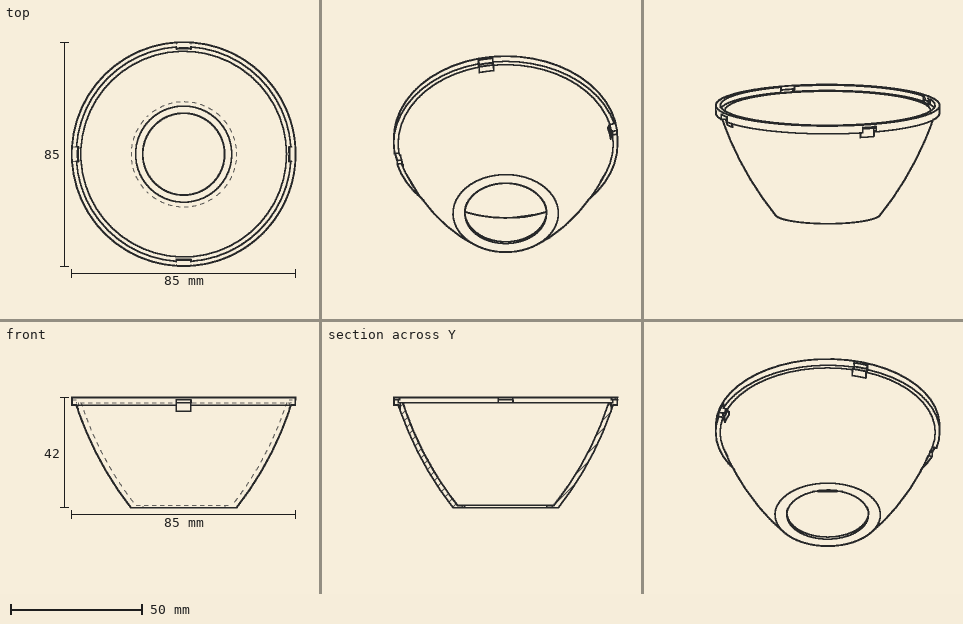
import cadquery as cq
import math

RIM_RADIUS = 42.5
RIM_BORE_RADIUS = 40.75
RIM_HEIGHT = 3.0
TOTAL_HEIGHT = 42.0
RIM_BOTTOM = TOTAL_HEIGHT - RIM_HEIGHT

SEAT_DEPTH = 2.0
SEAT_Z = TOTAL_HEIGHT - SEAT_DEPTH

BOWL_BASE_RADIUS = 20.0
BOWL_TOP_RADIUS = 40.8
BOWL_MID_RADIUS = 32.6
WALL = 2.0
FLOOR_THICKNESS = 1.0
FLOOR_HOLE_RADIUS = 15.5

WINDOW_COUNT = 4
WINDOW_WIDTH = 5.5
WINDOW_BOTTOM = 36.5
WINDOW_TOP = 41.0
WINDOW_INNER_RADIUS = 40.05
CUTTER_RADIUS = RIM_RADIUS + 2.0

LIP_REACH = 0.55
LIP_RADIUS = RIM_BORE_RADIUS - LIP_REACH


def circle_through(first, second, third):
    """Centre and radius of the circle through three (r, z) points."""
    (ax, ay), (bx, by), (cx, cy) = first, second, third
    a2 = ax**2 + ay**2
    b2 = bx**2 + by**2
    c2 = cx**2 + cy**2
    det = 2 * (ax * (by - cy) + bx * (cy - ay) + cx * (ay - by))
    centre_r = (a2 * (by - cy) + b2 * (cy - ay) + c2 * (ay - by)) / det
    centre_z = (a2 * (cx - bx) + b2 * (ax - cx) + c2 * (bx - ax)) / det
    return centre_r, centre_z, math.hypot(ax - centre_r, ay - centre_z)


ARC_R, ARC_Z, OUTER_ARC = circle_through(
    (BOWL_BASE_RADIUS, 0), (BOWL_MID_RADIUS, RIM_BOTTOM / 2), (BOWL_TOP_RADIUS, RIM_BOTTOM)
)
INNER_ARC = OUTER_ARC - WALL


def wall_point(arc_radius, z):
    """Point (r, z) on a bowl wall at height z."""
    return ARC_R + math.sqrt(arc_radius**2 - (z - ARC_Z) ** 2), z


def make_body():
    """Bowl, floor and rim revolved about the Z axis."""
    middle_z = (FLOOR_THICKNESS + SEAT_Z) / 2
    profile = (
        cq.Workplane("XZ")
        .moveTo(FLOOR_HOLE_RADIUS, 0)
        .lineTo(BOWL_BASE_RADIUS, 0)
        .threePointArc((BOWL_MID_RADIUS, RIM_BOTTOM / 2), (BOWL_TOP_RADIUS, RIM_BOTTOM))
        .lineTo(RIM_RADIUS, RIM_BOTTOM)
        .lineTo(RIM_RADIUS, TOTAL_HEIGHT)
        .lineTo(RIM_BORE_RADIUS, TOTAL_HEIGHT)
        .lineTo(RIM_BORE_RADIUS, SEAT_Z)
        .lineTo(*wall_point(INNER_ARC, SEAT_Z))
        .threePointArc(
            wall_point(INNER_ARC, middle_z), wall_point(INNER_ARC, FLOOR_THICKNESS)
        )
        .lineTo(FLOOR_HOLE_RADIUS, FLOOR_THICKNESS)
        .close()
    )
    return profile.revolve(360, (0, 0, 0), (0, 1, 0))


def make_cross_bars():
    """Crossed bars through the Z axis, one end at each window, as tall as the part."""
    bars = cq.Workplane("XY")
    for index in range(WINDOW_COUNT // 2):
        bar = (
            cq.Workplane("XY")
            .rect(2 * CUTTER_RADIUS, WINDOW_WIDTH)
            .extrude(TOTAL_HEIGHT)
            .rotate((0, 0, 0), (0, 0, 1), index * 360 / WINDOW_COUNT)
        )
        bars = bars.add(bar)
    return bars.combine()


def make_window_ring():
    """Ring spanning the height and the radial depth of the windows."""
    return (
        cq.Workplane("XY")
        .workplane(offset=WINDOW_BOTTOM)
        .circle(CUTTER_RADIUS)
        .circle(WINDOW_INNER_RADIUS)
        .extrude(WINDOW_TOP - WINDOW_BOTTOM)
    )


def make_lip_ring():
    """Ring between the window top and the rim top, its upper inner edge a quarter round."""
    middle_of_rim = (RIM_BORE_RADIUS + RIM_RADIUS) / 2
    round_start_z = TOTAL_HEIGHT - LIP_REACH
    diagonal_reach = LIP_REACH * math.cos(math.pi / 4)
    round_mid = (
        RIM_BORE_RADIUS - diagonal_reach,
        round_start_z + diagonal_reach,
    )
    profile = (
        cq.Workplane("XZ")
        .moveTo(LIP_RADIUS, WINDOW_TOP)
        .lineTo(middle_of_rim, WINDOW_TOP)
        .lineTo(middle_of_rim, TOTAL_HEIGHT)
        .lineTo(RIM_BORE_RADIUS, TOTAL_HEIGHT)
        .threePointArc(round_mid, (LIP_RADIUS, round_start_z))
        .close()
    )
    return profile.revolve(360, (0, 0, 0), (0, 1, 0))


cross_bars = make_cross_bars()
windows = make_window_ring().intersect(cross_bars)
lips = make_lip_ring().intersect(cross_bars)
result = make_body().cut(windows).union(lips)